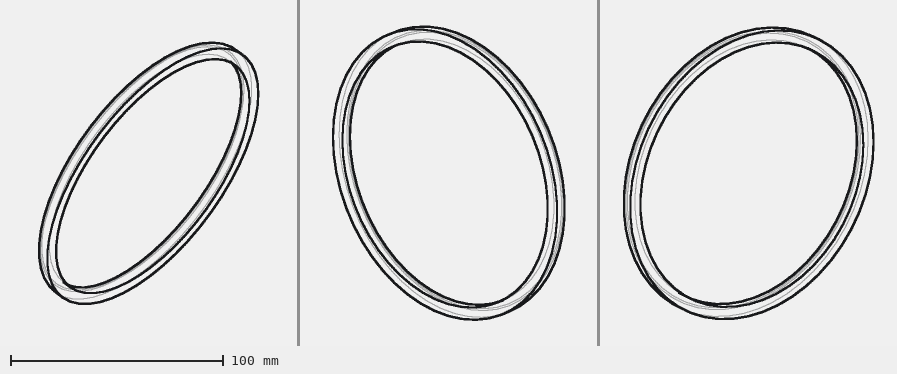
import cadquery as cq

outer_diameter = 142.0
inner_diameter = 130.0
width = 7.0
edge_radius = 2.5

front_x = -width / 2

ring = (
    cq.Workplane("YZ", origin=(front_x, 0, 0))
    .circle(outer_diameter / 2)
    .circle(inner_diameter / 2)
    .extrude(width)
)

result = ring.faces("<X").edges().fillet(edge_radius)